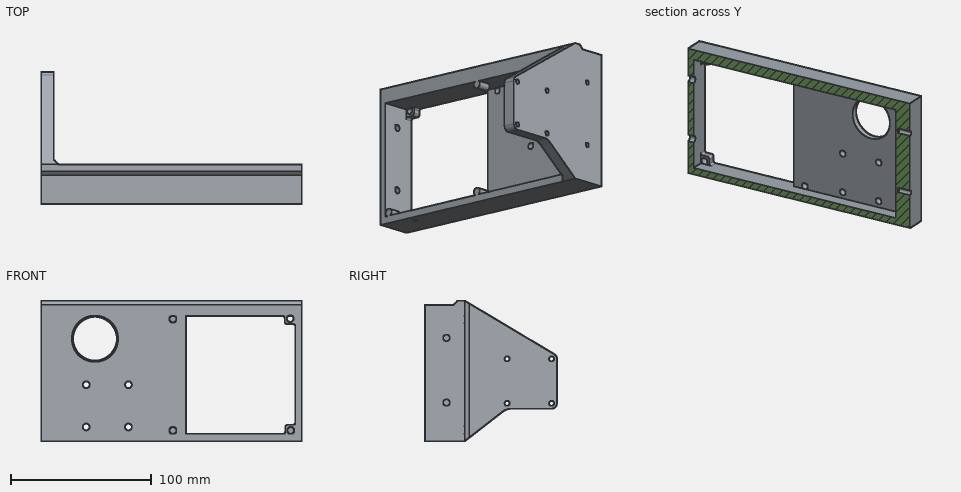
import cadquery as cq
import math

LENGTH = 185.18
BODY_DEPTH = 28.2
BODY_TOP = 97.0
FRONT_THICKNESS = 6.0
LEFT_WALL = 12.3
RIGHT_WALL = 4.7
CAVITY_FLOOR = 5.4
CAVITY_CEILING = 89.0
CAVITY_RIGHT = LENGTH - RIGHT_WALL

HEIGHT = 100.0
RIDGE_HEIGHT = HEIGHT - BODY_TOP
RIDGE_WIDTH = 4.9

WING_THICKNESS = 9.0
WING_END = 93.92
WING_HOLE_DIAMETER = 3.4
WING_HOLE_PITCH = 31.6
WING_CORNER_RADIUS = 3.9
WING_HOLE_Y = WING_END - WING_CORNER_RADIUS
WING_HOLE_Z = 27.0
WING_BOTTOM = WING_HOLE_Z - WING_CORNER_RADIUS
WING_BEND_Y = 58.0
WING_BEND_RADIUS = 10.0
WING_ROOT_CHAMFER = LEFT_WALL - WING_THICKNESS

WINDOW_LEFT = 103.0
WINDOW_BOTTOM = CAVITY_FLOOR
WINDOW_TOP = CAVITY_CEILING
LOWER_PAD_LEFT = 173.3
LOWER_PAD_TOP = 11.9
UPPER_PAD_LEFT = 172.9
UPPER_PAD_BOTTOM = 83.2
PAD_RADIUS = 2.0
PAD_INNER_RADIUS = 1.4

LENS_DIAMETER = 31.0
LENS_X = 38.2
LENS_Z = 72.9
LENS_CHAMFER = 1.0
FRONT_HOLE_DIAMETER = 4.7
SQUARE_LEFT = 32.0
SQUARE_BOTTOM = 10.2
SQUARE_PITCH = 30.0
POST_LEFT_X = 93.6
POST_RIGHT_X = 177.3
POST_LOWER_Z = 7.7
POST_UPPER_Z = 86.9
LEFT_POSTS = [(POST_LEFT_X, POST_LOWER_Z), (POST_LEFT_X, POST_UPPER_Z)]
RIGHT_POST = (POST_RIGHT_X, POST_LOWER_Z)
CLEAR_HOLE = (176.9, 87.2)

POST_DIAMETER = 5.7
POST_LENGTH = 10.4
POST_SLOPE_NORMAL = (-0.5, -1.0, 0.55)

LEFT_HOLE_DIAMETER = 3.2
RIGHT_HOLE_DIAMETER = 4.7
SIDE_HOLE_Y = 15.3
SIDE_HOLE_HEIGHTS = (27.5, 73.5)
LEFT_HOLE_DEPTH = 10.0
FLOOR_HOLE_DIAMETER = 3.0
FLOOR_HOLE_X = 158.8
FLOOR_HOLE_Y = 20.8


def box(x_range, y_range, z_range):
    """Axis-aligned box between the given limits."""
    size = [high - low for low, high in (x_range, y_range, z_range)]
    corner = (x_range[0], y_range[0], z_range[0])
    return cq.Workplane("XY").box(*size, centered=False).translate(corner)


def rod_x(diameter, y, z, start, length):
    """Cylinder along +X."""
    return cq.Workplane("YZ", origin=(start, y, z)).circle(diameter / 2).extrude(length)


def rod_y(diameter, x, z, start, length):
    """Cylinder along +Y."""
    return cq.Workplane("XZ", origin=(x, start, z)).circle(diameter / 2).extrude(-length)


def make_housing():
    ridge_front = BODY_DEPTH - RIDGE_WIDTH
    profile = [
        (0, 0),
        (BODY_DEPTH, 0),
        (BODY_DEPTH, HEIGHT),
        (ridge_front, HEIGHT),
        (ridge_front - RIDGE_HEIGHT, BODY_TOP),
        (0, BODY_TOP),
    ]
    body = cq.Workplane("YZ").polyline(profile).close().extrude(LENGTH)
    cavity = box(
        (LEFT_WALL, CAVITY_RIGHT),
        (FRONT_THICKNESS, BODY_DEPTH),
        (CAVITY_FLOOR, CAVITY_CEILING),
    )
    return body.cut(cavity)


def make_wing():
    """Tapered plate whose end corners are concentric with the outer holes."""
    upper_z = WING_HOLE_Z + WING_HOLE_PITCH
    rise = HEIGHT - upper_z
    run = WING_HOLE_Y - BODY_DEPTH
    slope = math.atan2(rise, run) - math.asin(WING_CORNER_RADIUS / math.hypot(rise, run))
    normal = math.pi / 2 - slope

    def corner_point(center_z, angle):
        return (
            WING_HOLE_Y + WING_CORNER_RADIUS * math.cos(angle),
            center_z + WING_CORNER_RADIUS * math.sin(angle),
        )

    outline = (
        cq.Workplane("YZ")
        .moveTo(BODY_DEPTH, 0)
        .lineTo(BODY_DEPTH, HEIGHT)
        .lineTo(*corner_point(upper_z, normal))
        .threePointArc(corner_point(upper_z, normal / 2), corner_point(upper_z, 0))
        .lineTo(WING_END, WING_HOLE_Z)
        .threePointArc(
            corner_point(WING_HOLE_Z, -math.pi / 4),
            corner_point(WING_HOLE_Z, -math.pi / 2),
        )
        .lineTo(WING_BEND_Y, WING_BOTTOM)
        .close()
    )
    blank = outline.extrude(LEFT_WALL)
    bend = cq.selectors.NearestToPointSelector((LEFT_WALL / 2, WING_BEND_Y, WING_BOTTOM))
    blank = blank.edges(bend).fillet(WING_BEND_RADIUS)

    plan = [
        (0, BODY_DEPTH),
        (LEFT_WALL, BODY_DEPTH),
        (WING_THICKNESS, BODY_DEPTH + WING_ROOT_CHAMFER),
        (WING_THICKNESS, WING_END),
        (0, WING_END),
    ]
    wing = blank.intersect(cq.Workplane("XY").polyline(plan).close().extrude(HEIGHT))
    for y in (WING_HOLE_Y, WING_HOLE_Y - WING_HOLE_PITCH):
        for z in (WING_HOLE_Z, upper_z):
            wing = wing.cut(rod_x(WING_HOLE_DIAMETER, y, z, 0, WING_THICKNESS))
    return wing


def make_window():
    """Window cutter: a rectangle notched by the two screw pads."""
    outline = [
        (WINDOW_LEFT, WINDOW_BOTTOM),
        (LOWER_PAD_LEFT, WINDOW_BOTTOM),
        (LOWER_PAD_LEFT, LOWER_PAD_TOP),
        (CAVITY_RIGHT, LOWER_PAD_TOP),
        (CAVITY_RIGHT, UPPER_PAD_BOTTOM),
        (UPPER_PAD_LEFT, UPPER_PAD_BOTTOM),
        (UPPER_PAD_LEFT, WINDOW_TOP),
        (WINDOW_LEFT, WINDOW_TOP),
    ]
    window = cq.Workplane("XZ").polyline(outline).close().extrude(-FRONT_THICKNESS)
    pad_corners = [(LOWER_PAD_LEFT, LOWER_PAD_TOP), (UPPER_PAD_LEFT, UPPER_PAD_BOTTOM)]
    inner_corners = [
        (LOWER_PAD_LEFT, WINDOW_BOTTOM),
        (CAVITY_RIGHT, LOWER_PAD_TOP),
        (CAVITY_RIGHT, UPPER_PAD_BOTTOM),
        (UPPER_PAD_LEFT, WINDOW_TOP),
    ]
    for corners, radius in ((pad_corners, PAD_RADIUS), (inner_corners, PAD_INNER_RADIUS)):
        for x, z in corners:
            edge = cq.selectors.NearestToPointSelector((x, FRONT_THICKNESS / 2, z))
            window = window.edges(edge).fillet(radius)
    return window


def make_posts():
    """Rear posts; the left pair have square ends, the right one a sloped end."""
    start = BODY_DEPTH - POST_LENGTH
    posts = rod_y(POST_DIAMETER, *RIGHT_POST, 0, BODY_DEPTH)
    slope = cq.Plane(
        origin=(RIGHT_POST[0], start, RIGHT_POST[1]),
        normal=POST_SLOPE_NORMAL,
    )
    posts = posts.cut(cq.Workplane(slope).rect(HEIGHT, HEIGHT).extrude(HEIGHT))
    for x, z in LEFT_POSTS:
        posts = posts.union(rod_y(POST_DIAMETER, x, z, start, POST_LENGTH))
    return posts


def cut_front_holes(part):
    part = part.cut(rod_y(LENS_DIAMETER, LENS_X, LENS_Z, 0, FRONT_THICKNESS))
    rim_radius = LENS_DIAMETER / 2 + LENS_CHAMFER
    rim = cq.Solid.makeCone(
        rim_radius,
        LENS_DIAMETER / 2,
        LENS_CHAMFER,
        cq.Vector(LENS_X, 0, LENS_Z),
        cq.Vector(0, 1, 0),
    )
    part = part.cut(cq.Workplane(rim))
    square = [
        (SQUARE_LEFT + column * SQUARE_PITCH, SQUARE_BOTTOM + row * SQUARE_PITCH)
        for column in range(2)
        for row in range(2)
    ]
    for x, z in square + LEFT_POSTS + [RIGHT_POST, CLEAR_HOLE]:
        part = part.cut(rod_y(FRONT_HOLE_DIAMETER, x, z, 0, FRONT_THICKNESS))
    return part


def cut_wall_holes(part):
    """Blind holes in the left wall, through holes in the right wall and floor."""
    for z in SIDE_HOLE_HEIGHTS:
        part = part.cut(rod_x(LEFT_HOLE_DIAMETER, SIDE_HOLE_Y, z, 0, LEFT_HOLE_DEPTH))
        part = part.cut(rod_x(RIGHT_HOLE_DIAMETER, SIDE_HOLE_Y, z, CAVITY_RIGHT, RIGHT_WALL))
    floor_hole = (
        cq.Workplane("XY", origin=(FLOOR_HOLE_X, FLOOR_HOLE_Y, 0))
        .circle(FLOOR_HOLE_DIAMETER / 2)
        .extrude(CAVITY_FLOOR)
    )
    return part.cut(floor_hole)


housing = make_housing().cut(make_window()).union(make_wing())
housing = housing.union(make_posts())
result = cut_wall_holes(cut_front_holes(housing))